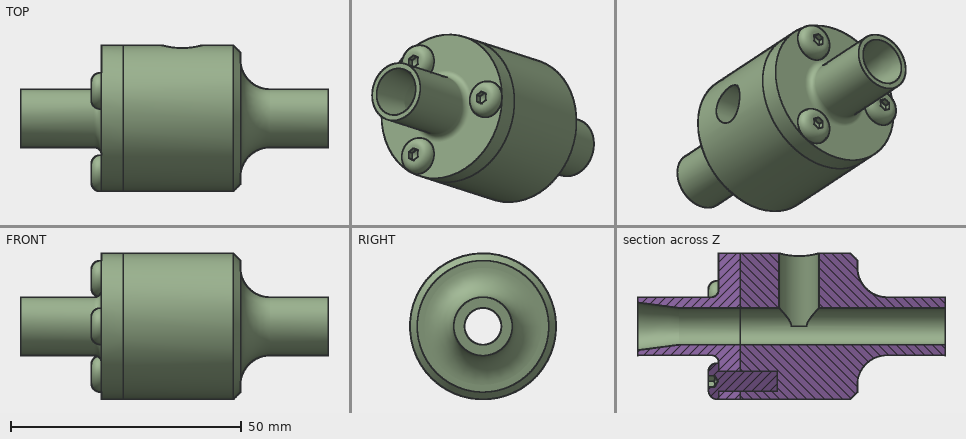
import cadquery as cq
import math

overall_length = 66.73
tube_diameter = 12.7
body_diameter = 31.75
body_radius = body_diameter / 2
tube_radius = tube_diameter / 2

flange_face_x = 17.5
flange_thickness = 4.76
joint_x = flange_face_x + flange_thickness
inlet_fillet_diameter = 15.72
inlet_fillet = (inlet_fillet_diameter - tube_diameter) / 2
mouth_diameter = 10.3
mouth_taper_length = 9.0
bore_diameter = 7.94

housing_end_x = 47.7
edge_chamfer = 1.59
outlet_fillet = 6.35
port_diameter = 8.61
port_x = 35.0

screw_count = 3
head_diameter = 7.92
head_height = 2.21
head_rim_height = 0.26
crown_radius = head_height - head_rim_height
crown_flat_diameter = head_diameter - 2 * crown_radius
shank_diameter = 4.17
shank_length = 12.7
screw_circle_radius = body_radius - head_diameter / 2
first_screw_angle = 180
hex_across_flats = 2.38
hex_corner_angle = 30
hex_across_corners = hex_across_flats / math.cos(math.radians(hex_corner_angle))
socket_depth = 2.1
socket_cone_height = 0.8


def screw_positions():
    """Y, Z centres of the screws."""
    positions = []
    for i in range(screw_count):
        angle = math.radians(first_screw_angle + i * 360 / screw_count)
        positions.append((screw_circle_radius * math.cos(angle), screw_circle_radius * math.sin(angle)))
    return positions


def cylinder_x(diameter, start_x, end_x, centres):
    """Cylinders along X at the given Y, Z centres."""
    plane = cq.Workplane("YZ", origin=(start_x, 0, 0))
    return plane.pushPoints(centres).circle(diameter / 2).extrude(end_x - start_x)


def revolve_about_x(profile):
    return profile.close().revolve(360, (0, 0, 0), (1, 0, 0))


def screw_holes():
    """Shank space shared by the cap's clearance holes and the housing's blind holes."""
    return cylinder_x(shank_diameter, flange_face_x, flange_face_x + shank_length, screw_positions())


def make_cap():
    fillet_start_x = flange_face_x - inlet_fillet
    profile = (
        cq.Workplane("XY")
        .moveTo(0, mouth_diameter / 2)
        .lineTo(0, tube_radius)
        .lineTo(fillet_start_x, tube_radius)
        .tangentArcPoint((flange_face_x, inlet_fillet_diameter / 2), relative=False)
        .lineTo(flange_face_x, body_radius)
        .lineTo(joint_x, body_radius)
        .lineTo(joint_x, bore_diameter / 2)
        .lineTo(mouth_taper_length, bore_diameter / 2)
    )
    return revolve_about_x(profile).cut(screw_holes())


def make_housing():
    fillet_outer_radius = tube_radius + outlet_fillet
    fillet_diagonal = outlet_fillet * (1 - math.sqrt(0.5))
    profile = (
        cq.Workplane("XY")
        .moveTo(joint_x, bore_diameter / 2)
        .lineTo(joint_x, body_radius)
        .lineTo(housing_end_x - edge_chamfer, body_radius)
        .lineTo(housing_end_x, body_radius - edge_chamfer)
        .lineTo(housing_end_x, fillet_outer_radius)
        .threePointArc(
            (housing_end_x + fillet_diagonal, tube_radius + fillet_diagonal),
            (housing_end_x + outlet_fillet, tube_radius),
        )
        .lineTo(overall_length, tube_radius)
        .lineTo(overall_length, bore_diameter / 2)
    )
    port = cq.Workplane("XZ").center(port_x, 0).circle(port_diameter / 2).extrude(-body_radius)
    return revolve_about_x(profile).cut(port).cut(screw_holes())


def make_socket():
    """Hexagonal socket with a conical floor, opening at the crown of a screw on the X axis."""
    crown_x = flange_face_x - head_height
    hexagon = (
        cq.Workplane("YZ", origin=(crown_x, 0, 0))
        .polygon(6, hex_across_corners)
        .extrude(socket_depth)
        .rotate((0, 0, 0), (1, 0, 0), hex_corner_angle)
    )
    tip_x = crown_x + socket_depth
    drill_tip = revolve_about_x(
        cq.Workplane("XY")
        .moveTo(crown_x, 0)
        .lineTo(crown_x, hex_across_corners / 2)
        .lineTo(tip_x - socket_cone_height, hex_across_corners / 2)
        .lineTo(tip_x, 0)
    )
    return hexagon.intersect(drill_tip)


def make_screw(y, z):
    crown_x = flange_face_x - head_height
    shank_end_x = flange_face_x + shank_length
    profile = (
        cq.Workplane("XY")
        .moveTo(shank_end_x, 0)
        .lineTo(shank_end_x, shank_diameter / 2)
        .lineTo(flange_face_x, shank_diameter / 2)
        .lineTo(flange_face_x, head_diameter / 2)
        .lineTo(flange_face_x - head_rim_height, head_diameter / 2)
        .tangentArcPoint((crown_x, crown_flat_diameter / 2), relative=False)
        .lineTo(crown_x, 0)
    )
    return revolve_about_x(profile).cut(make_socket()).translate((0, y, z))


cap = make_cap()
housing = make_housing()
screws = [make_screw(y, z) for y, z in screw_positions()]

result = cq.Compound.makeCompound([cap.val(), housing.val(), *[screw.val() for screw in screws]])